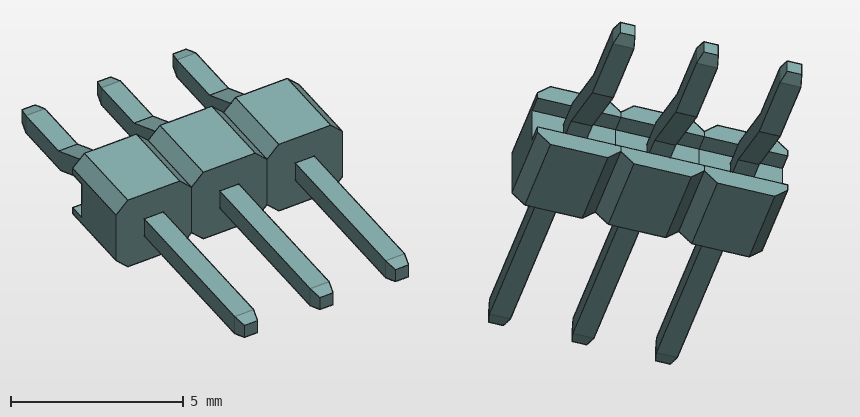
import cadquery as cq
import math

pin_length = 12.8
contact_count = 3
row_width = 7.62
pitch = row_width / contact_count

housing_start = 4.71
housing_length = 2.5
housing_height = 2.5
edge_chamfer = 0.4
recess_depth = 0.51
recess_margin = 0.63

pin_size = 0.64
tip_length = 0.4
tip_inset = 0.096
bend_low = 2.28
bend_high = 4.33
axis_height = housing_height / 2
tail_height = pin_size / 2

slope_angle = math.atan2(axis_height - tail_height, bend_high - bend_low)
mitre_shift = pin_size * math.tan(slope_angle / 2)


def make_housing(y_center):
    """Chamfered block with a full-width recess at the tail side and a pin hole."""
    block = (
        cq.Workplane("XY")
        .box(housing_length, pitch, housing_height, centered=(False, True, False))
        .edges("|X")
        .chamfer(edge_chamfer)
    )
    recess = cq.Workplane("XY").box(
        recess_depth, pitch, housing_height - 2 * recess_margin, centered=(False, True, True)
    ).translate((0, 0, axis_height))
    pin_hole = cq.Workplane("XY").box(
        housing_length, pin_size, pin_size, centered=(False, True, True)
    ).translate((0, 0, axis_height))
    return block.cut(recess).cut(pin_hole).translate((housing_start, y_center, 0))


def make_tip(base_x, end_x, height):
    """Tapered pin end, narrowing from base_x to end_x."""
    end_size = pin_size - 2 * tip_inset
    return (
        cq.Workplane("YZ", origin=(base_x, 0, height))
        .rect(pin_size, pin_size)
        .workplane(offset=end_x - base_x)
        .rect(end_size, end_size)
        .loft(ruled=True, combine=True)
    )


def make_pin(y_center):
    """Cranked square bar with a tapered tip at each end."""
    tail_start = tip_length
    straight_end = pin_length - tip_length
    half = pin_size / 2
    bar = (
        cq.Workplane("XZ")
        .moveTo(tail_start, tail_height + half)
        .lineTo(bend_low, tail_height + half)
        .lineTo(bend_high, axis_height + half)
        .lineTo(straight_end, axis_height + half)
        .lineTo(straight_end, axis_height - half)
        .lineTo(bend_high + mitre_shift, axis_height - half)
        .lineTo(bend_low + mitre_shift, tail_height - half)
        .lineTo(tail_start, tail_height - half)
        .close()
        .extrude(half, both=True)
    )
    tail_tip = make_tip(tail_start, 0, tail_height)
    straight_tip = make_tip(straight_end, pin_length, axis_height)
    return bar.union(tail_tip).union(straight_tip).translate((0, y_center, 0))


bodies = []
for index in range(contact_count):
    y_center = (index - (contact_count - 1) / 2) * pitch
    bodies.append(make_housing(y_center).solids().val())
    bodies.append(make_pin(y_center).solids().val())

result = cq.Compound.makeCompound(bodies)